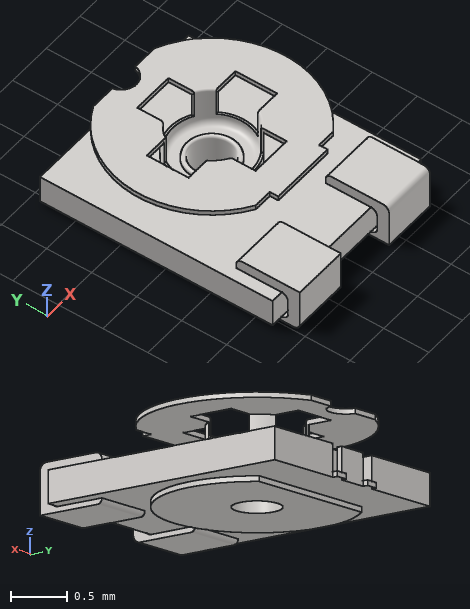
import cadquery as cq


part_length = 2.84

sheet = 0.05
base_thickness = 0.31
base_bottom = sheet
base_top = base_bottom + base_thickness
rim_top = 0.48
part_height = 0.79
disc_bottom = part_height - sheet

base_width = 2.21
base_back = 1.088
base_front = -1.5

tab_width = 0.555
tab_back = 1.14
tab_front = 0.963
tab_gap_width = 0.305
tab_gap_front = 1.037

pad_radius = 0.949
pad_flat_back = 0.608

disc_radius = 1.082
disc_flat_back = 0.983
disc_flat_front = -0.917
pointer_width = 0.733
pointer_front = -1.01
notch_radius = 0.173
notch_center_y = 1.015

hub_radius = 0.463
bore_radius = 0.437
hub_edge_radius = hub_radius - bore_radius
bowl_floor_radius = 0.358
bowl_fillet = bore_radius - bowl_floor_radius
hole_radius = 0.23
eyelet_radius = 0.285
eyelet_wall = eyelet_radius - hole_radius
eyelet_height = 0.043
cross_width = 0.463
cross_length = 1.315

terminal_inner_x = 0.358
terminal_width = 0.61
terminal_front = tab_back - part_length
terminal_back = -0.995
terminal_wall = 0.133
lip_fillet = 0.07
bottom_lip_fillet = 0.048
bend_fillet = 0.075
inner_bend_fillet = 0.07


def block(x_size, y_min, y_max, z_min, z_max):
    """Box centred on X = 0 between the given Y and Z limits."""
    box = cq.Workplane("XY").box(x_size, y_max - y_min, z_max - z_min, centered=(True, False, False))
    return box.translate((0, y_min, z_min))


def cylinder(radius, z_min, z_max, center_y=0):
    """Vertical cylinder on X = 0 between the given Z limits."""
    return cq.Workplane("XY", origin=(0, center_y, z_min)).circle(radius).extrude(z_max - z_min)


def tab_outline(z_min, z_max):
    """Stop tab shape: a plate with two prongs pointing back."""
    plate = block(tab_width, tab_front, tab_back, z_min, z_max)
    return plate.cut(block(tab_gap_width, tab_gap_front, tab_back, z_min, z_max))


def make_base():
    """Base plate with the stop tab at the bottom of its pocket and the pad below."""
    base = block(base_width, base_front, base_back, base_bottom, base_top)
    base = base.cut(tab_outline(base_bottom, base_top))
    base = base.union(tab_outline(base_bottom, base_bottom + sheet))
    pad = cylinder(pad_radius, 0, base_bottom)
    pad = pad.intersect(block(2 * pad_radius, -pad_radius, pad_flat_back, 0, base_bottom))
    return base.union(pad)


def make_disc():
    """Rotor disc with two flats, a front pointer and a rear notch."""
    disc = cylinder(disc_radius, disc_bottom, part_height)
    disc = disc.intersect(block(2 * disc_radius, disc_flat_front, disc_flat_back, disc_bottom, part_height))
    disc = disc.union(block(pointer_width, pointer_front, 0, disc_bottom, part_height))
    return disc.cut(cylinder(notch_radius, disc_bottom, part_height, notch_center_y))


def make_cross_cut():
    """Cross opening that leaves four posts between the disc and the hub rim."""
    half_length = cross_length / 2
    half_width = cross_width / 2
    arm_y = block(cross_width, -half_length, half_length, rim_top, part_height)
    return arm_y.union(block(cross_length, -half_width, half_width, rim_top, part_height))


def make_bore():
    """Rounded bowl inside the hub, with a rounded lead-in at the top of the posts."""
    bowl = cylinder(bore_radius, base_top, part_height).faces("<Z").edges().fillet(bowl_fillet)
    edge_blank = cylinder(hub_radius, part_height - hub_edge_radius, part_height)
    edge_ring = (
        cq.Workplane("XZ")
        .center(hub_radius, part_height - hub_edge_radius)
        .circle(hub_edge_radius)
        .revolve(360, (-hub_radius, 0), (-hub_radius, 1))
    )
    return bowl.union(edge_blank.cut(edge_ring))


def make_eyelet():
    """Raised ring around the hole, standing on the bowl floor with a fully rounded top."""
    crest_radius = hole_radius + eyelet_wall / 2
    eyelet_top = base_top + eyelet_height
    shoulder = eyelet_top - eyelet_wall / 2
    profile = (
        cq.Workplane("XZ")
        .moveTo(hole_radius, base_top)
        .lineTo(hole_radius, shoulder)
        .threePointArc((crest_radius, eyelet_top), (eyelet_radius, shoulder))
        .lineTo(eyelet_radius, base_top)
        .close()
    )
    return profile.revolve(360, (0, 0), (0, 1))


def make_terminal(x_min, bend_edge):
    """C-shaped clip around the front edge; bend_edge picks the rounded outer corner."""
    clip = block(terminal_width, terminal_front, terminal_back, 0, rim_top)
    clip = clip.edges("|X and >Y and >Z").fillet(lip_fillet)
    clip = clip.edges("|X and >Y and <Z").fillet(bottom_lip_fillet)
    clip = clip.edges(bend_edge).fillet(bend_fillet)
    inside = block(terminal_width, terminal_front + terminal_wall, terminal_back, base_bottom, base_top)
    inside = inside.edges("|X and <Y").fillet(inner_bend_fillet)
    return clip.cut(inside).translate((x_min + terminal_width / 2, 0, 0))


hub = cylinder(hub_radius, base_top, part_height)
rotor = make_disc().union(hub).cut(make_cross_cut()).cut(make_bore())

result = (
    make_base()
    .union(rotor)
    .cut(cylinder(hole_radius, 0, base_top))
    .union(make_eyelet())
    .union(make_terminal(-terminal_inner_x - terminal_width, "|X and <Y and <Z"))
    .union(make_terminal(terminal_inner_x, "|X and <Y and >Z"))
)